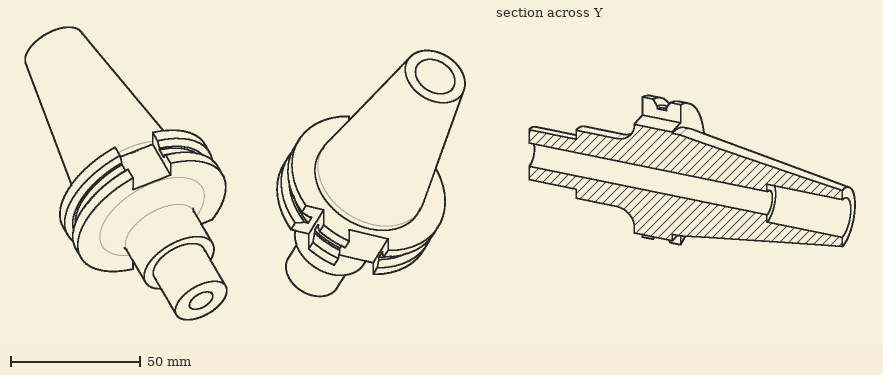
import cadquery as cq

taper_length = 68.5
flange_start = 71.5
flange_width = 16.1
flange_end = flange_start + flange_width
shoulder_end = 112.0
total_length = 131.7

taper_small_radius = 12.4
gauge_radius = 22.3
flange_radius = 31.7
shoulder_radius = 15.0
tip_radius = 11.0
root_fillet = 7.4

groove_mouth_start = 75.9
groove_mouth_end = 83.1
groove_floor_start = 77.6
groove_floor_end = 81.4
groove_wall_radius = 29.1
groove_floor_radius = 28.0

slot_width = 16.1
top_slot_floor = 22.8
bottom_slot_floor = 25.0
notch_side_y = 18.6
notch_floor_z = 18.3

through_radius = 5.0
drawbar_radius = 8.2
drawbar_depth = 31.6


def revolved_body():
    """Taper, flange, filleted shoulder and tip, turned about the X axis."""
    arc_factor = 0.5 ** 0.5
    fillet_center_x = flange_end + root_fillet
    fillet_center_r = shoulder_radius + root_fillet
    fillet_middle = (
        fillet_center_x - root_fillet * arc_factor,
        fillet_center_r - root_fillet * arc_factor,
    )
    profile = (
        cq.Workplane("XY")
        .moveTo(0, 0)
        .lineTo(0, taper_small_radius)
        .lineTo(taper_length, gauge_radius)
        .lineTo(flange_start, gauge_radius)
        .lineTo(flange_start, flange_radius)
        .lineTo(groove_mouth_start, flange_radius)
        .lineTo(groove_floor_start, groove_wall_radius)
        .lineTo(groove_floor_start, groove_floor_radius)
        .lineTo(groove_floor_end, groove_floor_radius)
        .lineTo(groove_floor_end, groove_wall_radius)
        .lineTo(groove_mouth_end, flange_radius)
        .lineTo(flange_end, flange_radius)
        .lineTo(flange_end, fillet_center_r)
        .threePointArc(fillet_middle, (fillet_center_x, shoulder_radius))
        .lineTo(shoulder_end, shoulder_radius)
        .lineTo(shoulder_end, tip_radius)
        .lineTo(total_length, tip_radius)
        .lineTo(total_length, 0)
        .close()
    )
    return profile.revolve(360, (0, 0, 0), (1, 0, 0))


def flange_cutter(y_min, y_max, z_min, z_max):
    """Box spanning the full flange width between the given Y and Z limits."""
    return (
        cq.Workplane("XY")
        .box(flange_width, y_max - y_min, z_max - z_min, centered=False)
        .translate((flange_start, y_min, z_min))
    )


def axial_bore(radius, depth):
    """Cylinder entering from the small end of the taper."""
    return cq.Workplane("YZ").circle(radius).extrude(depth)


half_slot = slot_width / 2
top_slot = flange_cutter(-half_slot, half_slot, top_slot_floor, flange_radius)
bottom_slot = flange_cutter(-half_slot, half_slot, -flange_radius, -bottom_slot_floor)
notch = flange_cutter(notch_side_y, flange_radius, -flange_radius, -notch_floor_z)

result = (
    revolved_body()
    .cut(top_slot)
    .cut(bottom_slot)
    .cut(notch)
    .cut(axial_bore(through_radius, total_length))
    .cut(axial_bore(drawbar_radius, drawbar_depth))
)